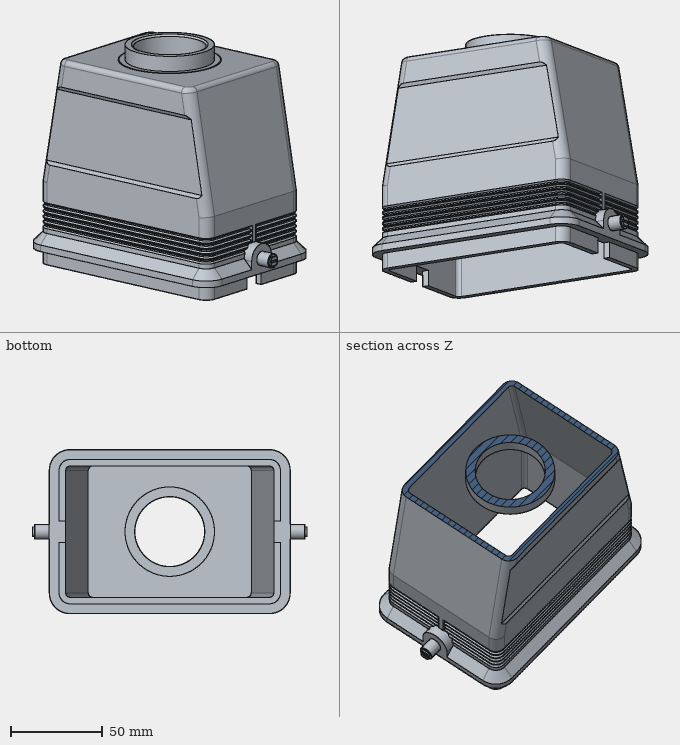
import cadquery as cq

hood_length = 121.3
hood_width = 79.2
hood_height = 118.3
shoulder_height = 47.3
roof_length = 95.3
corner_radius = 6.0
roof_edge_radius = 3.0
wall = 3.6

recess_bottom = 57.2
recess_top = 103.1
recess_depth = 1.0
recess_slope_height = 2.1

groove_count = 5
groove_pitch = 3.0
groove_height = 2.5
groove_depth = 0.9
grooves_top = 35.2
rib_crest = 2.7
rib_base = 6.3

flange_bottom = 8.7
flange_rim_height = 3.8
flange_overhang = 5.4

notch_width = 11.7

pin_height = 17.2
lug_radius = 8.5
pin_radius = 4.0
pin_tip = 74.2
pin_tip_chamfer = 0.3
stud_tip = 75.2
stud_size = 5.1
stud_corner_radius = 1.2
stud_slot_width = 1.0
stud_slot_depth = 0.5

collar_top = 127.0
collar_radius = 24.5
pad_base_radius = 28.3
pad_top_radius = 27.8
pad_height = 0.2
bore_radius = 20.0
bore_chamfer = 1.0
bore_depth = 17.9
throat_radius = 19.1
sleeve_bottom = 101.9

flange_length = hood_length + 2 * flange_overhang
flange_width = hood_width + 2 * flange_overhang
flange_end = flange_length / 2


def tapered_block(inset):
    """Hood shape moved inward by inset, with its slanting corners rounded."""
    base_half = hood_length / 2 - inset
    lean = (hood_length - roof_length) / 2 / (hood_height - shoulder_height)
    top = hood_height - inset
    roof_half = base_half - lean * (top - shoulder_height)
    half_width = hood_width / 2 - inset
    outline = [
        (-base_half, 0),
        (base_half, 0),
        (base_half, shoulder_height),
        (roof_half, top),
        (-roof_half, top),
        (-base_half, shoulder_height),
    ]
    block = cq.Workplane("XZ").polyline(outline).close().extrude(half_width, both=True)
    return block.edges("not #Z").fillet(corner_radius - inset)


def hood_plan(bottom, inset=0):
    """Rounded rectangle of the lower hood, placed at a height; a negative inset grows it."""
    plan = (
        cq.Sketch()
        .rect(hood_length - 2 * inset, hood_width - 2 * inset)
        .vertices()
        .fillet(corner_radius - inset)
    )
    return cq.Workplane("XY", origin=(0, 0, bottom)).placeSketch(plan)


def side_recess(side):
    """Flat recess with sloping top and bottom, along one long wall."""
    face = side * hood_width / 2
    floor = face - side * recess_depth
    outline = [
        (face, recess_bottom),
        (floor, recess_bottom + recess_slope_height),
        (floor, recess_top - recess_slope_height),
        (face, recess_top),
    ]
    return cq.Workplane("YZ").polyline(outline).close().extrude(hood_length / 2, both=True)


def groove(bottom):
    """One ring groove with 45 degree flanks and a flat floor."""
    floor_height = groove_height - 2 * groove_depth
    floor_bottom = bottom + groove_depth
    floor_top = floor_bottom + floor_height
    core = (
        hood_plan(bottom).extrude(groove_depth, taper=45)
        .union(hood_plan(floor_bottom, groove_depth).extrude(floor_height))
        .union(hood_plan(floor_top, groove_depth).extrude(groove_depth, taper=-45))
    )
    ring = cq.Workplane("XY", origin=(0, 0, bottom)).rect(flange_length, flange_width)
    return ring.extrude(groove_height).cut(core)


def end_rib(side):
    """Upright rib that bridges the grooves in the middle of an end wall."""
    face = side * hood_length / 2
    floor = face - side * groove_depth
    outline = [
        (floor, -rib_base / 2),
        (face, -rib_crest / 2),
        (face, rib_crest / 2),
        (floor, rib_base / 2),
    ]
    rib_bottom = grooves_top - (groove_count - 1) * groove_pitch - groove_height
    rib = cq.Workplane("XY", origin=(0, 0, rib_bottom)).polyline(outline).close()
    return rib.extrude(grooves_top - rib_bottom)


def flange():
    """Rim following the hood plan, sloping back to the wall at 45 degrees."""
    rim = hood_plan(flange_bottom, -flange_overhang).extrude(flange_rim_height)
    slope_bottom = flange_bottom + flange_rim_height
    slope = hood_plan(slope_bottom, -flange_overhang).extrude(flange_overhang, taper=45)
    return rim.union(slope)


def locking_pin():
    """Lug, pin and slotted stud on the +X end wall."""
    root = hood_length / 2 - wall / 2
    axis = cq.Workplane("YZ", origin=(root, 0, pin_height))
    lug = axis.circle(lug_radius).extrude(flange_end - root)
    foot_height = pin_height - flange_bottom
    foot = axis.center(0, -foot_height / 2).rect(2 * lug_radius, foot_height).extrude(flange_end - root)
    pin = axis.circle(pin_radius).extrude(pin_tip - root).faces(">X").chamfer(pin_tip_chamfer)
    stud = axis.rect(stud_size, stud_size).extrude(stud_tip - root)
    stud = stud.edges("|X").fillet(stud_corner_radius)
    slot = cq.Workplane("XY").box(2 * stud_slot_depth, stud_size, stud_slot_width)
    stud = stud.cut(slot.translate((stud_tip, 0, pin_height)))
    return lug.union(foot).union(pin).union(stud)


def cylinder(radius, bottom, top):
    return cq.Workplane("XY", origin=(0, 0, bottom)).circle(radius).extrude(top - bottom)


def cable_entry():
    """Sleeve through the roof, with a low conical pad at its foot outside."""
    pad = (
        cq.Workplane("XY", origin=(0, 0, hood_height)).circle(pad_base_radius)
        .workplane(offset=pad_height).circle(pad_top_radius)
        .loft()
    )
    return cylinder(collar_radius, sleeve_bottom, collar_top).union(pad)


def entry_bore():
    """Chamfered bore stepping down to a slightly narrower throat."""
    mouth_radius = bore_radius + bore_chamfer
    bore_bottom = collar_top - bore_depth
    outline = [
        (0, sleeve_bottom),
        (throat_radius, sleeve_bottom),
        (throat_radius, bore_bottom),
        (bore_radius, bore_bottom),
        (bore_radius, collar_top - bore_chamfer),
        (mouth_radius, collar_top),
        (0, collar_top),
    ]
    return cq.Workplane("XZ").polyline(outline).close().revolve(360, (0, 0), (0, 1))


hood = tapered_block(0).faces(">Z").edges().fillet(roof_edge_radius)
for side in (-1, 1):
    hood = hood.cut(side_recess(side))
for index in range(groove_count):
    hood = hood.cut(groove(grooves_top - groove_height - index * groove_pitch))
for side in (-1, 1):
    hood = hood.union(end_rib(side))
hood = hood.union(flange())

hood = hood.cut(tapered_block(wall))

notch = cq.Workplane("XY").box(flange_length, notch_width, flange_bottom, centered=(True, True, False))
hood = hood.cut(notch)

pin = locking_pin()
hood = hood.union(pin).union(pin.mirror("YZ"))

result = hood.union(cable_entry()).cut(entry_bore())